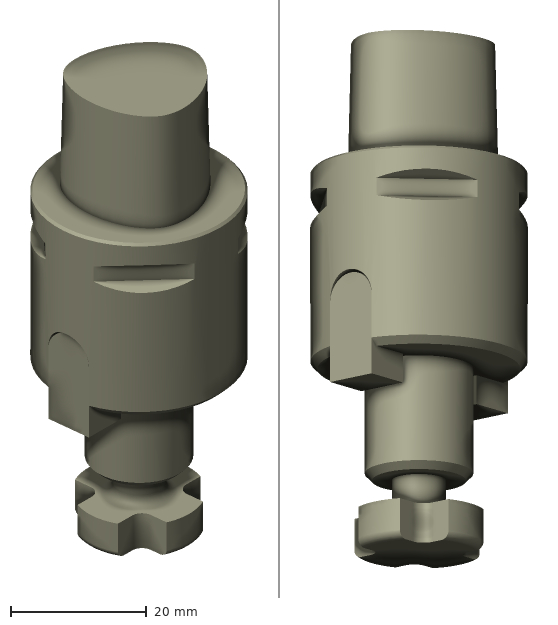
import cadquery as cq
import math

total_height = 77.0
flange_top = 58.05
flange_bottom = 28.1
pilot_bottom = 11.1

flange_radius = 16.0
flange_top_chamfer = 0.4
bottom_chamfer = 1.1
pilot_radius = flange_radius / 2

shank_radius = 11.1
shank_eccentricity = 0.7
shank_taper = 1 / 40

groove_centre_z = 52.05
groove_floor_radius = 14.2
groove_floor_height = 2.6
groove_mouth_height = 4.8
groove_start_angle = 45
groove_count = 4

key_width = 8.0
key_bottom = 23.7
key_arc_centre_z = 35.7
key_slot_clearance = 0.4
key_inner = 8.4
key_outer = math.sqrt(flange_radius**2 - (key_width / 2) ** 2)
key_angles = (0, 180)

screw_radius = 4.0
screw_engagement = 3 * screw_radius
screw_top = pilot_bottom + screw_engagement
head_radius = 9.9
head_height = 6.0
head_edge_fillet = 1.2
arm_width = 8.0
arm_corner_fillet = 1.9
neck_fillet = 1.55


def shank_profile(radius, z):
    """Closed constant-width curve with one lobe pointing along +Y."""

    def point(t):
        angle = 2 * math.pi * t - math.pi / 2
        support = radius - shank_eccentricity * math.sin(3 * angle)
        slope = -3 * shank_eccentricity * math.cos(3 * angle)
        x = support * math.cos(angle) - slope * math.sin(angle)
        y = support * math.sin(angle) + slope * math.cos(angle)
        return (x, y)

    return cq.Workplane("XY").workplane(offset=z).parametricCurve(point).val()


def make_shank():
    height = total_height - flange_top
    lower = shank_profile(shank_radius, flange_top)
    upper = shank_profile(shank_radius - height * shank_taper, total_height)
    return cq.Workplane(cq.Solid.makeLoft([lower, upper], True))


def make_flange_and_pilot():
    return (
        cq.Workplane("XZ")
        .moveTo(0, pilot_bottom)
        .lineTo(pilot_radius - bottom_chamfer, pilot_bottom)
        .lineTo(pilot_radius, pilot_bottom + bottom_chamfer)
        .lineTo(pilot_radius, flange_bottom)
        .lineTo(flange_radius - bottom_chamfer, flange_bottom)
        .lineTo(flange_radius, flange_bottom + bottom_chamfer)
        .lineTo(flange_radius, flange_top - flange_top_chamfer)
        .lineTo(flange_radius - flange_top_chamfer, flange_top)
        .lineTo(0, flange_top)
        .close()
        .revolve(360, (0, 0), (0, 1))
    )


def make_groove(angle):
    """Straight cutter with a flat floor and flanks that open outward."""
    floor_half = groove_floor_height / 2
    mouth_half = groove_mouth_height / 2
    return (
        cq.Workplane("XZ")
        .moveTo(groove_floor_radius, groove_centre_z - floor_half)
        .lineTo(flange_radius, groove_centre_z - mouth_half)
        .lineTo(flange_radius, groove_centre_z + mouth_half)
        .lineTo(groove_floor_radius, groove_centre_z + floor_half)
        .close()
        .extrude(flange_radius, both=True)
        .rotate((0, 0, 0), (0, 0, 1), angle)
    )


def make_key_block(angle, bottom, arc_centre_z, outer):
    """Block with a rounded upper end, from the key's inner face to outer."""
    half = key_width / 2
    return (
        cq.Workplane("XZ")
        .workplane(offset=key_inner)
        .moveTo(-half, bottom)
        .lineTo(half, bottom)
        .lineTo(half, arc_centre_z)
        .threePointArc((0, arc_centre_z + half), (-half, arc_centre_z))
        .close()
        .extrude(outer - key_inner)
        .rotate((0, 0, 0), (0, 0, 1), angle)
    )


def make_key(angle):
    return make_key_block(angle, key_bottom, key_arc_centre_z, key_outer)


def make_key_slot(angle):
    slot_arc_centre_z = key_arc_centre_z + key_slot_clearance
    return make_key_block(angle, flange_bottom, slot_arc_centre_z, flange_radius)


def make_holder():
    holder = make_flange_and_pilot().union(make_shank())
    for index in range(groove_count):
        holder = holder.cut(make_groove(groove_start_angle + index * 360 / groove_count))
    for angle in key_angles:
        holder = holder.cut(make_key_slot(angle))
    screw_hole = (
        cq.Workplane("XY")
        .workplane(offset=pilot_bottom)
        .circle(screw_radius)
        .extrude(screw_engagement)
    )
    return holder.cut(screw_hole)


def make_screw_head():
    """Cross-shaped head with round arm ends and a rounded lower rim."""
    arm_along_x = cq.Workplane("XY").rect(2 * head_radius, arm_width).extrude(head_height)
    arm_along_y = cq.Workplane("XY").rect(arm_width, 2 * head_radius).extrude(head_height)
    inner_corners = cq.selectors.BoxSelector(
        (-arm_width, -arm_width, 0), (arm_width, arm_width, head_height)
    )
    cross = arm_along_x.union(arm_along_y).edges("|Z").edges(inner_corners).fillet(arm_corner_fillet)
    disc = cq.Workplane("XY").circle(head_radius).extrude(head_height)
    rim = disc.faces("<Z").edges().fillet(head_edge_fillet)
    return cross.intersect(rim)


def make_screw():
    shaft_and_neck = (
        cq.Workplane("XZ")
        .lineTo(screw_radius + neck_fillet, 0)
        .lineTo(screw_radius + neck_fillet, head_height)
        .radiusArc((screw_radius, head_height + neck_fillet), neck_fillet)
        .lineTo(screw_radius, screw_top)
        .lineTo(0, screw_top)
        .close()
        .revolve(360, (0, 0), (0, 1))
    )
    return make_screw_head().union(shaft_and_neck)


holder = make_holder()
keys = [make_key(angle) for angle in key_angles]
screw = make_screw()

result = cq.Compound.makeCompound([holder.val(), *[key.val() for key in keys], screw.val()])